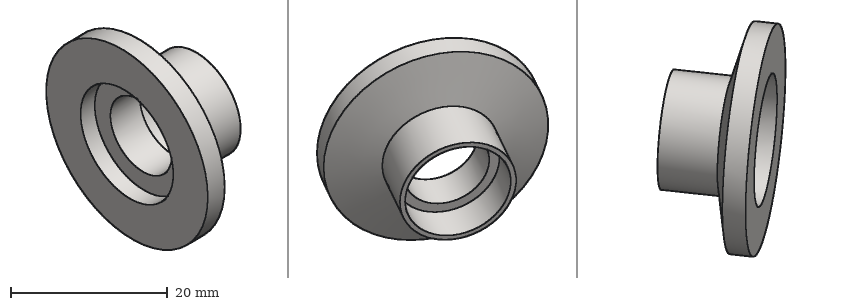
import cadquery as cq

flange_diameter = 30.0
tube_diameter = 15.5
bore_diameter = 11.37
recess_diameter = 17.2
socket_diameter = 14.1
total_length = 12.7
rim_thickness = 3.0
tube_length = 7.77
recess_depth = 2.5
socket_depth = 5.0

front = -total_length / 2
back = front + total_length
rim_back = front + rim_thickness
cone_back = back - tube_length


def cylinder(diameter, start, length):
    """Cylinder along +Y, starting at the given Y station."""
    base = cq.Workplane("XZ", origin=(0, start, 0))
    return base.circle(diameter / 2).extrude(-length)


body = (
    cq.Workplane("XY")
    .moveTo(0, front)
    .lineTo(flange_diameter / 2, front)
    .lineTo(flange_diameter / 2, rim_back)
    .lineTo(tube_diameter / 2, cone_back)
    .lineTo(tube_diameter / 2, back)
    .lineTo(0, back)
    .close()
    .revolve(360, (0, 0, 0), (0, 1, 0))
)

bore = cylinder(bore_diameter, front, total_length)
recess = cylinder(recess_diameter, front, recess_depth)
socket = cylinder(socket_diameter, back - socket_depth, socket_depth)

result = body.cut(bore).cut(recess).cut(socket)